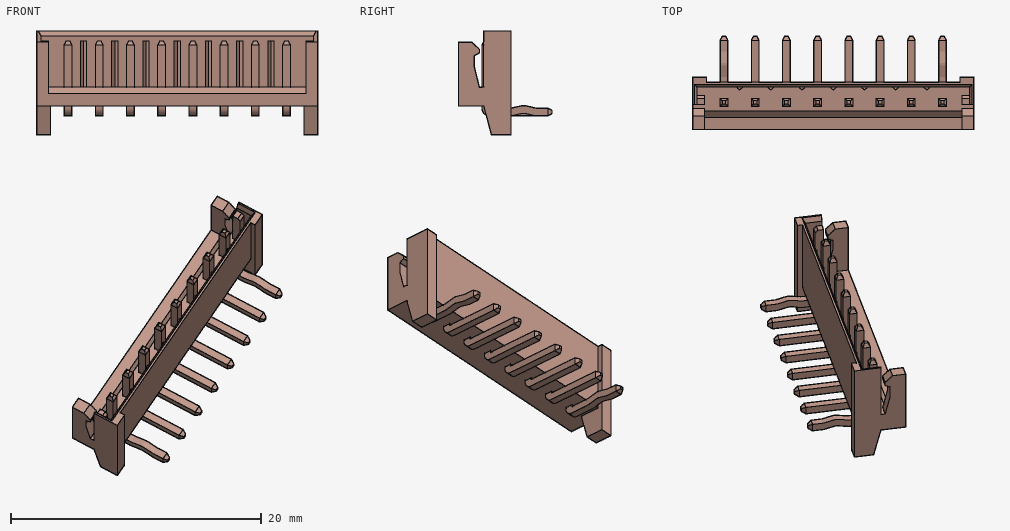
import cadquery as cq
import math


LENGTH = 22.5
HALF_LENGTH = LENGTH / 2
TOP = 6.0
REAR_WALL_BACK = 3.8
PAD_BACK = 4.2
PAD_WIDTH = 1.12
LEG_DROP = 2.3
LEG_TIP_LENGTH = 1.58
FLOOR_TOP = 1.5

END_WALL = 0.35
END_WALL_FRONT = 2.02
CAVITY_BACK = 3.4
MOUTH_WIDENING = 0.22
MOUTH_HEIGHT = 0.4

LIP_TOP = 1.01
LIP_DEPTH = 1.0
LIP_BACK = 1.48

ARM_WIDTH = 0.97
POST_TOP = 5.2
POST_BACK = 2.72
POST_CHAMFER = 0.22
ARM_TOP = 5.1
ARM_ROOT_BACK = 1.69
ARM_WAIST_BACK = 1.28
ARM_WAIST_BOTTOM = 3.13
ARM_WAIST_TOP = 4.03
HOOK_BOTTOM = 4.25
HOOK_TOP = 4.55
HOOK_TIP_DEPTH = 1.08

RIB_TOP = 5.2
RIB_WIDTH = 0.5
RIB_HEIGHT = 0.22

PIN_COUNT = 8
PITCH = 2.5
PIN_SIZE = 0.63
PIN_FRONT = 1.87
PIN_TOP = 5.22
TAIL_BOTTOM = -0.79
TAIL_TOP = TAIL_BOTTOM + PIN_SIZE
TAIL_END = 7.5
TIP_LENGTH = 0.34
TIP_SIZE = 0.27

KINK_START = PAD_BACK
KINK_END = 6.23
KINK_CREST_START = 5.1
KINK_CREST_END = 5.33
KINK_RISE = 0.2


def extrude_along_x(outline, x_start, x_end):
    """Prism between two X positions from a list of (Y, Z) points."""
    return cq.Workplane("YZ", origin=(x_start, 0, 0)).polyline(outline).close().extrude(x_end - x_start)


def box(x_range, y_range, z_range):
    """Box from its (low, high) limits on each axis."""
    size = [high - low for low, high in (x_range, y_range, z_range)]
    corner = (x_range[0], y_range[0], z_range[0])
    return cq.Workplane("XY").box(*size, centered=False).translate(corner)


def make_shell():
    """Floor with its sloped front edge, rear wall and end walls around a chamfered mouth."""
    floor = extrude_along_x(
        [(0, 0), (REAR_WALL_BACK, 0), (REAR_WALL_BACK, FLOOR_TOP),
         (LIP_BACK, FLOOR_TOP), (LIP_DEPTH, LIP_TOP), (0, LIP_TOP)],
        -HALF_LENGTH, HALF_LENGTH,
    )
    walls = box((-HALF_LENGTH, HALF_LENGTH), (END_WALL_FRONT, REAR_WALL_BACK), (FLOOR_TOP, TOP))
    cavity_half = HALF_LENGTH - END_WALL
    cavity = box((-cavity_half, cavity_half), (0, CAVITY_BACK), (FLOOR_TOP, TOP))

    mouth_depth = 2 * CAVITY_BACK
    mouth = (
        cq.Workplane("XY", origin=(0, 0, TOP - MOUTH_HEIGHT))
        .rect(2 * cavity_half, mouth_depth)
        .workplane(offset=MOUTH_HEIGHT)
        .rect(2 * (cavity_half + MOUTH_WIDENING), mouth_depth + 2 * MOUTH_WIDENING)
        .loft(ruled=True)
    )
    return floor.union(walls.cut(cavity).cut(mouth))


def make_end_features():
    """Latch arm, inner post, corner pad and mounting leg of the -X end."""
    outer = -HALF_LENGTH
    arm = extrude_along_x(
        [(0, 0), (ARM_ROOT_BACK, 0), (ARM_ROOT_BACK, FLOOR_TOP),
         (ARM_WAIST_BACK, ARM_WAIST_BOTTOM), (ARM_WAIST_BACK, ARM_WAIST_TOP),
         (ARM_ROOT_BACK, HOOK_BOTTOM), (ARM_ROOT_BACK, HOOK_TOP),
         (HOOK_TIP_DEPTH, ARM_TOP), (0, ARM_TOP)],
        outer, outer + ARM_WIDTH,
    )
    slot_floor = box((outer, outer + ARM_WIDTH), (0, END_WALL_FRONT), (0, FLOOR_TOP))
    post = extrude_along_x(
        [(END_WALL_FRONT, 0), (POST_BACK, 0), (POST_BACK, POST_TOP - POST_CHAMFER),
         (POST_BACK - POST_CHAMFER, POST_TOP), (END_WALL_FRONT, POST_TOP)],
        outer + END_WALL, outer + ARM_WIDTH,
    )
    pad = box((outer, outer + PAD_WIDTH), (REAR_WALL_BACK, PAD_BACK), (0, TOP))
    leg = extrude_along_x(
        [(END_WALL_FRONT, 0), (PAD_BACK, 0), (PAD_BACK, -LEG_DROP),
         (PAD_BACK - LEG_TIP_LENGTH, -LEG_DROP)],
        outer, outer + PAD_WIDTH,
    )
    return arm.union(slot_floor).union(post).union(pad).union(leg)


def make_rib(x):
    """V-shaped rib on the rear wall."""
    return (
        cq.Workplane("XY", origin=(x, CAVITY_BACK, FLOOR_TOP))
        .polyline([(-RIB_WIDTH / 2, 0), (0, -RIB_HEIGHT), (RIB_WIDTH / 2, 0)])
        .close()
        .extrude(RIB_TOP - FLOOR_TOP)
    )


def make_housing(pin_places):
    """Complete housing with a square through hole for each pin."""
    left_end = make_end_features()
    housing = make_shell().union(left_end).union(left_end.mirror("YZ"))
    for x in pin_places[:-1]:
        housing = housing.union(make_rib(x + PITCH / 2))
    for x in pin_places:
        hole = box(
            (x - PIN_SIZE / 2, x + PIN_SIZE / 2), (PIN_FRONT, PIN_FRONT + PIN_SIZE), (0, FLOOR_TOP)
        )
        housing = housing.cut(hole)
    return housing


def make_tip(plane):
    """Four-sided tapered tip on the plane at its base."""
    return (
        cq.Workplane(plane)
        .rect(PIN_SIZE, PIN_SIZE)
        .workplane(offset=TIP_LENGTH)
        .rect(TIP_SIZE, TIP_SIZE)
        .loft(ruled=True)
    )


def make_pin(x, kinked):
    """Pin bent from vertical to rearward, with a rounded outer corner and tapered tips."""
    post_end = PIN_TOP - TIP_LENGTH
    tail_end = TAIL_END - TIP_LENGTH
    pin_back = PIN_FRONT + PIN_SIZE

    kink = [(KINK_START, 0), (KINK_CREST_START, KINK_RISE), (KINK_CREST_END, KINK_RISE), (KINK_END, 0)]
    steps = kink if kinked else []
    lower_edge = [(y, TAIL_BOTTOM + rise) for y, rise in steps]
    upper_edge = [(y, TAIL_TOP + rise) for y, rise in reversed(steps)]

    arc_reach = PIN_SIZE * math.sqrt(0.5)
    outline = cq.Workplane("YZ", origin=(x - PIN_SIZE / 2, 0, 0)).moveTo(PIN_FRONT, post_end)
    outline = outline.lineTo(PIN_FRONT, TAIL_TOP)
    outline = outline.threePointArc((pin_back - arc_reach, TAIL_TOP - arc_reach), (pin_back, TAIL_BOTTOM))
    for point in [*lower_edge, (tail_end, TAIL_BOTTOM), (tail_end, TAIL_TOP), *upper_edge]:
        outline = outline.lineTo(*point)
    bar = outline.lineTo(pin_back, TAIL_TOP).lineTo(pin_back, post_end).close().extrude(PIN_SIZE)

    top_plane = cq.Plane(origin=(x, PIN_FRONT + PIN_SIZE / 2, post_end), normal=(0, 0, 1))
    tail_plane = cq.Plane(
        origin=(x, tail_end, TAIL_BOTTOM + PIN_SIZE / 2), xDir=(1, 0, 0), normal=(0, 1, 0)
    )
    return bar.union(make_tip(top_plane)).union(make_tip(tail_plane))


pin_places = [(index - (PIN_COUNT - 1) / 2) * PITCH for index in range(PIN_COUNT)]
end_places = (pin_places[0], pin_places[-1])

housing = make_housing(pin_places)
straight_pins = [make_pin(x, kinked=False) for x in pin_places[1:-1]]
kinked_pins = [make_pin(x, kinked=True) for x in end_places]

result = cq.Compound.makeCompound(
    [housing.val(), *[pin.val() for pin in straight_pins], *[pin.val() for pin in kinked_pins]]
)